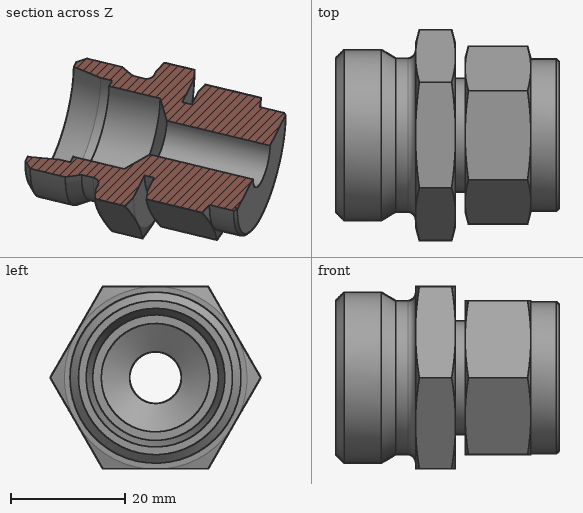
import cadquery as cq
import math

THREAD_CHAMFER_END = 1.5
THREAD_END = 8.0
NECK_START = 10.5
BODY_HEX_START = 14.0
BODY_HEX_END = 21.0
NUT_HEX_START = 22.7
NUT_HEX_END = 34.2
TOTAL_LENGTH = 39.2

THREAD_RADIUS = 15.0
THREAD_TIP_RADIUS = 13.5
NECK_RADIUS = 13.5
NECK_FILLET = 1.4
BODY_HEX_FLATS = 32.0
STEM_RADIUS = 10.0
NUT_HEX_FLATS = 27.0
COLLAR_RADIUS = 13.35
COLLAR_CHAMFER = 0.5
HEX_CHAMFER_ANGLE = 15.0

MOUTH_RADIUS = 12.15
SOCKET_RADIUS = 11.0
CONE_HALF_ANGLE = 12.0
SOCKET_DEPTH = 7.5
COUNTERBORE_RADIUS = 9.5
COUNTERBORE_DEPTH = 17.0
THROUGH_RADIUS = 4.5
DRILL_TIP_HALF_ANGLE = 59.0


def revolve_about_x(profile):
    """Turn a closed X-Y profile about the X axis."""
    return profile.close().revolve(360, (0, 0, 0), (1, 0, 0))


def chamfered_hex(start, end, flats):
    """Hexagonal prism along X, flats facing +-Z, both ends turned to a cone."""
    corner_radius = flats / math.sqrt(3)
    face_radius = flats / 2
    chamfer = (corner_radius - face_radius) * math.tan(math.radians(HEX_CHAMFER_ANGLE))
    prism = cq.Workplane("YZ", origin=(start, 0, 0)).polygon(6, 2 * corner_radius).extrude(end - start)
    envelope = revolve_about_x(
        cq.Workplane("XY")
        .moveTo(start, 0)
        .lineTo(start, face_radius)
        .lineTo(start + chamfer, corner_radius)
        .lineTo(end - chamfer, corner_radius)
        .lineTo(end, face_radius)
        .lineTo(end, 0)
    )
    return prism.intersect(envelope)


def threaded_end():
    """Chamfered thread cylinder, relief neck and the fillet into the body hexagon."""
    fillet_start = BODY_HEX_START - NECK_FILLET
    fillet_top = NECK_RADIUS + NECK_FILLET
    fillet_mid_x = fillet_start + NECK_FILLET * math.sin(math.pi / 4)
    fillet_mid_r = fillet_top - NECK_FILLET * math.cos(math.pi / 4)
    return revolve_about_x(
        cq.Workplane("XY")
        .moveTo(0, 0)
        .lineTo(0, THREAD_TIP_RADIUS)
        .lineTo(THREAD_CHAMFER_END, THREAD_RADIUS)
        .lineTo(THREAD_END, THREAD_RADIUS)
        .lineTo(NECK_START, NECK_RADIUS)
        .lineTo(fillet_start, NECK_RADIUS)
        .threePointArc((fillet_mid_x, fillet_mid_r), (BODY_HEX_START, fillet_top))
        .lineTo(BODY_HEX_START, 0)
    )


def stem():
    """Round stem bridging the gap between the two hexagons."""
    length = NUT_HEX_START - BODY_HEX_END
    return cq.Workplane("YZ", origin=(BODY_HEX_END, 0, 0)).circle(STEM_RADIUS).extrude(length)


def nut_collar():
    """Round collar behind the nut hexagon, chamfered at its free end."""
    length = TOTAL_LENGTH - NUT_HEX_END
    collar = cq.Workplane("YZ", origin=(NUT_HEX_END, 0, 0)).circle(COLLAR_RADIUS).extrude(length)
    return collar.faces(">X").edges().chamfer(COLLAR_CHAMFER)


def bore():
    """Conical tube seat, socket, counterbore with a drill tip, and the through hole."""
    cone_depth = (MOUTH_RADIUS - SOCKET_RADIUS) / math.tan(math.radians(CONE_HALF_ANGLE))
    tip_depth = (COUNTERBORE_RADIUS - THROUGH_RADIUS) / math.tan(math.radians(DRILL_TIP_HALF_ANGLE))
    return revolve_about_x(
        cq.Workplane("XY")
        .moveTo(0, 0)
        .lineTo(0, MOUTH_RADIUS)
        .lineTo(cone_depth, SOCKET_RADIUS)
        .lineTo(SOCKET_DEPTH, SOCKET_RADIUS)
        .lineTo(SOCKET_DEPTH, COUNTERBORE_RADIUS)
        .lineTo(COUNTERBORE_DEPTH, COUNTERBORE_RADIUS)
        .lineTo(COUNTERBORE_DEPTH + tip_depth, THROUGH_RADIUS)
        .lineTo(TOTAL_LENGTH, THROUGH_RADIUS)
        .lineTo(TOTAL_LENGTH, 0)
    )


result = (
    threaded_end()
    .union(chamfered_hex(BODY_HEX_START, BODY_HEX_END, BODY_HEX_FLATS))
    .union(stem())
    .union(chamfered_hex(NUT_HEX_START, NUT_HEX_END, NUT_HEX_FLATS))
    .union(nut_collar())
    .cut(bore())
)